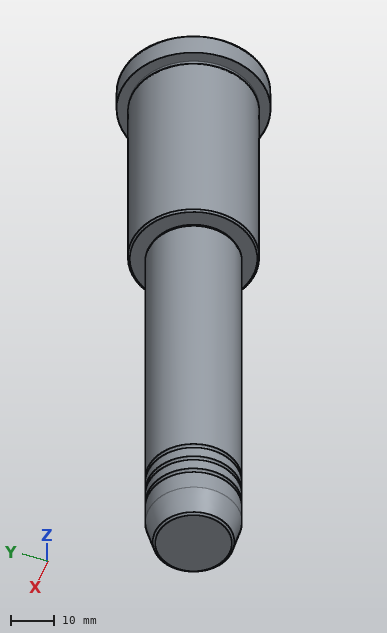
import cadquery as cq
import math

total_length = 151.0
head_diameter = 35.0
head_height = 6.0
sleeve_diameter = 29.9
sleeve_length = 50.0
shank_diameter = 22.0

head_chamfer = 0.6
sleeve_chamfer = 0.5
tip_chamfer = 0.5

taper_length = 7.0
taper_angle = 15.0

relief_width = 0.9
relief_depth = relief_width / 2

groove_count = 3
groove_width = 1.2
groove_depth = groove_width / 2
groove_pitch = 4.1
lowest_groove_z = 12.0

head_bottom_z = total_length - head_height
sleeve_bottom_z = head_bottom_z - sleeve_length
tip_diameter = shank_diameter - 2 * taper_length * math.tan(math.radians(taper_angle))


def cylinder(diameter, bottom_z, top_z):
    """Solid cylinder on the Z axis between two heights."""
    return cq.Workplane("XY").workplane(offset=bottom_z).circle(diameter / 2).extrude(top_z - bottom_z)


def square_groove(diameter, depth, bottom_z, width):
    """Ring that cuts a square groove into a cylinder of the given diameter."""
    core = cylinder(diameter - 2 * depth, bottom_z, bottom_z + width)
    return cylinder(diameter, bottom_z, bottom_z + width).cut(core)


def round_groove(diameter, depth, bottom_z, width):
    """Ring that cuts a groove with an arc-shaped floor into a cylinder of the given diameter."""
    radius = diameter / 2
    return (
        cq.Workplane("XZ")
        .moveTo(radius, bottom_z)
        .threePointArc((radius - depth, bottom_z + width / 2), (radius, bottom_z + width))
        .close()
        .revolve(360, (0, 0, 0), (0, 1, 0))
    )


head = cylinder(head_diameter, head_bottom_z, total_length).edges(">Z").chamfer(head_chamfer)
sleeve = cylinder(sleeve_diameter, sleeve_bottom_z, head_bottom_z).edges("<Z").chamfer(sleeve_chamfer)
shank = cylinder(shank_diameter, taper_length, sleeve_bottom_z)
tip = (
    cq.Workplane("XY")
    .circle(tip_diameter / 2)
    .workplane(offset=taper_length)
    .circle(shank_diameter / 2)
    .loft(ruled=True)
    .edges("<Z")
    .chamfer(tip_chamfer)
)
result = head.union(sleeve).union(shank).union(tip)

head_relief_z = head_bottom_z - relief_width
sleeve_relief_z = sleeve_bottom_z - relief_width
result = result.cut(round_groove(sleeve_diameter, relief_depth, head_relief_z, relief_width))
result = result.cut(square_groove(shank_diameter, relief_depth, sleeve_relief_z, relief_width))

for index in range(groove_count):
    groove_z = lowest_groove_z + index * groove_pitch
    result = result.cut(round_groove(shank_diameter, groove_depth, groove_z, groove_width))